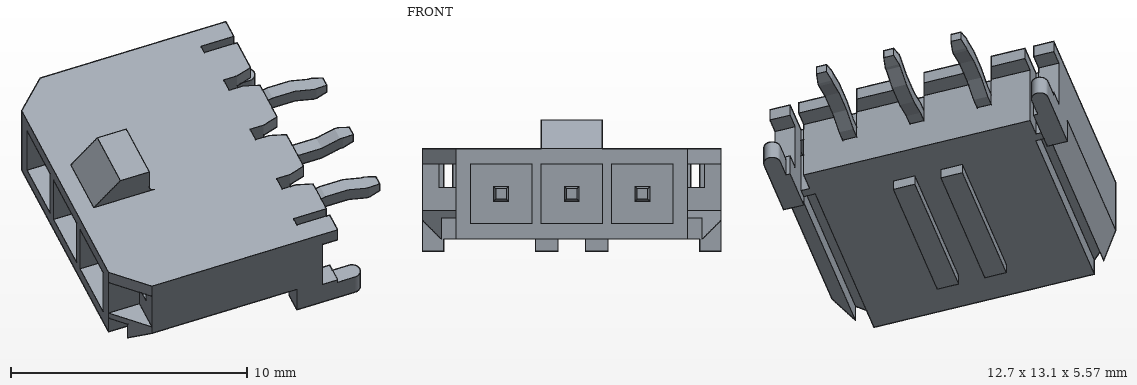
import cadquery as cq


PIN_COUNT = 3
PIN_PITCH = 3.0

HOUSING_WIDTH = 12.65
HALF_WIDTH = HOUSING_WIDTH / 2
ROOF_LENGTH = 9.9
REAR_WALL_Y = 9.21
BOTTOM_Z = 0.52
TOP_Z = 4.35
WALL = 0.65
ROOF_BOTTOM_Z = TOP_Z - WALL
CORNER_CHAMFER = 1.41

CAVITY_WIDTH = 2.6
CAVITY_BOTTOM_Z = BOTTOM_Z + WALL
CAVITY_HEIGHT = ROOF_BOTTOM_Z - CAVITY_BOTTOM_Z
REAR_WALL = 1.28
CAVITY_DEPTH = REAR_WALL_Y - REAR_WALL

PIN_SIZE = 0.63
PIN_Z = CAVITY_BOTTOM_Z + CAVITY_HEIGHT / 2
PIN_FRONT_Y = 2.62
PIN_TAIL_Y = 13.08
PIN_TIP_LENGTH = 0.5
TIP_SIZE = 0.45
BEND_OFFSET = 0.25
BEND_START_Y = 9.67
CREST_START_Y = 10.57
CREST_END_Y = 11.6
BEND_END_Y = 12.44

PIN_SLOT_Y = 8.58
NOTCH_MOUTH_WIDTH = 1.07

FOOT_WIDTH = 0.9
FOOT_START_Y = 8.03
FOOT_HEIGHT = 1.14
POST_WIDTH = 0.72
POST_HEIGHT = 0.98
POST_END_Y = 11.05

SIDE_SLIT_WIDTH = 0.38
SIDE_SLIT_Y = 8.4
SIDE_SLIT_INNER_X = HALF_WIDTH - FOOT_WIDTH - SIDE_SLIT_WIDTH
BOTTOM_CHAMFER = 0.8
POCKET_INNER_X = HALF_WIDTH - CORNER_CHAMFER
POCKET_FLOOR_Z = 1.74
TUNNEL_WIDTH = 0.72
TUNNEL_FLOOR_Z = 2.72
GROOVE_WIDTH = CORNER_CHAMFER - BOTTOM_CHAMFER
GROOVE_TOP_Z = 1.41

LATCH_WIDTH = CAVITY_WIDTH
LATCH_TOP_Z = 5.57
LATCH_FRONT_Y = 0.78
LATCH_REAR_Y = 3.32
LATCH_FILLET = 0.24

RIB_WIDTH = 0.95
RIB_CENTER_X = 1.06
RIB_START_Y = 1.7
RIB_END_Y = 7.7

PIN_CENTERS = [(i - (PIN_COUNT - 1) / 2) * PIN_PITCH for i in range(PIN_COUNT)]


def block(x_min, x_max, y_min, y_max, z_min, z_max):
    """Axis-aligned box between two limits on each axis."""
    size = (x_max - x_min, y_max - y_min, z_max - z_min)
    return cq.Workplane("XY").box(*size, centered=False).translate((x_min, y_min, z_min))


def plan_prism(points, z_min, z_max):
    """Upright prism over an outline of (X, Y) points."""
    return cq.Workplane("XY").workplane(offset=z_min).polyline(points).close().extrude(z_max - z_min)


def on_both_sides(shape):
    """The shape together with its mirror image across the middle plane X = 0."""
    return shape.union(shape.mirror("YZ"))


def shell():
    """Plain housing with a roof that overhangs the rear wall."""
    body = block(-HALF_WIDTH, HALF_WIDTH, 0, REAR_WALL_Y, BOTTOM_Z, TOP_Z)
    roof = block(-HALF_WIDTH, HALF_WIDTH, 0, ROOF_LENGTH, ROOF_BOTTOM_Z, TOP_Z)
    return body.union(roof)


def side_cuts():
    """Everything removed from the +X side of the shell."""
    front_corner = plan_prism(
        [(POCKET_INNER_X, 0), (HALF_WIDTH, 0), (HALF_WIDTH, CORNER_CHAMFER)], BOTTOM_Z, TOP_Z
    )
    bottom_edge = (
        cq.Workplane("XZ")
        .moveTo(HALF_WIDTH, BOTTOM_Z)
        .lineTo(HALF_WIDTH - BOTTOM_CHAMFER, BOTTOM_Z)
        .lineTo(HALF_WIDTH, BOTTOM_Z + BOTTOM_CHAMFER)
        .close()
        .extrude(-FOOT_START_Y)
    )
    pocket = block(POCKET_INNER_X, HALF_WIDTH, 0, CORNER_CHAMFER, POCKET_FLOOR_Z, ROOF_BOTTOM_Z)
    groove = block(
        POCKET_INNER_X, POCKET_INNER_X + GROOVE_WIDTH, 0, FOOT_START_Y, BOTTOM_Z, GROOVE_TOP_Z
    )
    tunnel = block(
        POCKET_INNER_X, POCKET_INNER_X + TUNNEL_WIDTH,
        CORNER_CHAMFER, SIDE_SLIT_Y,
        TUNNEL_FLOOR_Z, ROOF_BOTTOM_Z,
    )
    slit = block(
        SIDE_SLIT_INNER_X, SIDE_SLIT_INNER_X + SIDE_SLIT_WIDTH,
        SIDE_SLIT_Y, ROOF_LENGTH,
        BOTTOM_Z, TOP_Z,
    )
    return front_corner.union(bottom_edge).union(pocket).union(groove).union(tunnel).union(slit)


def foot():
    """Foot on the +X side with a round-ended post pointing to the rear."""
    base = block(HALF_WIDTH - FOOT_WIDTH, HALF_WIDTH, FOOT_START_Y, ROOF_LENGTH, 0, FOOT_HEIGHT)
    round_start_y = POST_END_Y - POST_WIDTH / 2
    post = (
        cq.Workplane("XY")
        .moveTo(HALF_WIDTH, FOOT_START_Y)
        .lineTo(HALF_WIDTH, round_start_y)
        .threePointArc(
            (HALF_WIDTH - POST_WIDTH / 2, POST_END_Y), (HALF_WIDTH - POST_WIDTH, round_start_y)
        )
        .lineTo(HALF_WIDTH - POST_WIDTH, FOOT_START_Y)
        .close()
        .extrude(POST_HEIGHT)
    )
    return base.union(post)


def latch():
    """Latch with a 45 degree front ramp and a hollow fillet at its rear foot."""
    height = LATCH_TOP_Z - TOP_Z
    fillet_end_y = LATCH_REAR_Y + LATCH_FILLET
    return (
        cq.Workplane("YZ")
        .moveTo(LATCH_FRONT_Y, TOP_Z)
        .lineTo(LATCH_FRONT_Y + height, LATCH_TOP_Z)
        .lineTo(LATCH_REAR_Y, LATCH_TOP_Z)
        .lineTo(LATCH_REAR_Y, TOP_Z + LATCH_FILLET)
        .radiusArc((fillet_end_y, TOP_Z), -LATCH_FILLET)
        .close()
        .extrude(LATCH_WIDTH / 2, both=True)
    )


def rib():
    """Long rib under the floor on the +X side."""
    half = RIB_WIDTH / 2
    return block(RIB_CENTER_X - half, RIB_CENTER_X + half, RIB_START_Y, RIB_END_Y, 0, BOTTOM_Z)


def pin_opening(x):
    """Cavity, pin hole and flared rear slot for the pin at the given X."""
    half_cavity = CAVITY_WIDTH / 2
    half_pin = PIN_SIZE / 2
    half_mouth = NOTCH_MOUTH_WIDTH / 2
    pin_bottom_z = PIN_Z - half_pin
    cavity = block(
        x - half_cavity, x + half_cavity, 0, CAVITY_DEPTH, CAVITY_BOTTOM_Z, ROOF_BOTTOM_Z
    )
    hole = block(
        x - half_pin, x + half_pin, CAVITY_DEPTH, REAR_WALL_Y, pin_bottom_z, PIN_Z + half_pin
    )
    slot = plan_prism(
        [
            (x - half_pin, PIN_SLOT_Y),
            (x + half_pin, PIN_SLOT_Y),
            (x + half_pin, REAR_WALL_Y),
            (x + half_mouth, ROOF_LENGTH),
            (x - half_mouth, ROOF_LENGTH),
            (x - half_pin, REAR_WALL_Y),
        ],
        pin_bottom_z,
        TOP_Z,
    )
    return cavity.union(hole).union(slot)


def make_housing():
    housing = shell().cut(on_both_sides(side_cuts()))
    housing = housing.union(on_both_sides(foot())).union(on_both_sides(rib())).union(latch())
    for x in PIN_CENTERS:
        housing = housing.cut(pin_opening(x))
    return housing


def pin_tip(y_base, y_end):
    """Square frustum from the full pin section to a smaller end face."""
    length = abs(y_end - y_base)
    outward = 1 if y_end > y_base else -1
    base_plane = cq.Plane(origin=(0, y_base, 0), xDir=(1, 0, 0), normal=(0, outward, 0))
    return (
        cq.Workplane(base_plane)
        .rect(PIN_SIZE, PIN_SIZE)
        .workplane(offset=length)
        .rect(TIP_SIZE, TIP_SIZE)
        .loft(ruled=True)
    )


def make_pin(x, bend_side):
    """Square pin whose tail is kinked up (bend_side = 1) or down (bend_side = -1)."""
    half = PIN_SIZE / 2
    crest = half + BEND_OFFSET
    shank_start_y = PIN_FRONT_Y + PIN_TIP_LENGTH
    shank_end_y = PIN_TAIL_Y - PIN_TIP_LENGTH
    shank = (
        cq.Workplane("YZ")
        .polyline(
            [
                (shank_start_y, half),
                (BEND_START_Y, half),
                (CREST_START_Y, crest),
                (CREST_END_Y, crest),
                (BEND_END_Y, half),
                (shank_end_y, half),
                (shank_end_y, -half),
                (BEND_END_Y, -half),
                (CREST_END_Y, crest - PIN_SIZE),
                (CREST_START_Y, crest - PIN_SIZE),
                (BEND_START_Y, -half),
                (shank_start_y, -half),
            ]
        )
        .close()
        .extrude(half, both=True)
    )
    if bend_side < 0:
        shank = shank.mirror("XY")
    front_tip = pin_tip(shank_start_y, PIN_FRONT_Y)
    tail_tip = pin_tip(shank_end_y, PIN_TAIL_Y)
    return shank.union(front_tip).union(tail_tip).translate((x, 0, PIN_Z))


housing = make_housing()

pins = [make_pin(x, 1 if i % 2 == 0 else -1) for i, x in enumerate(PIN_CENTERS)]

result = cq.Compound.makeCompound([housing.val(), *[pin.val() for pin in pins]])